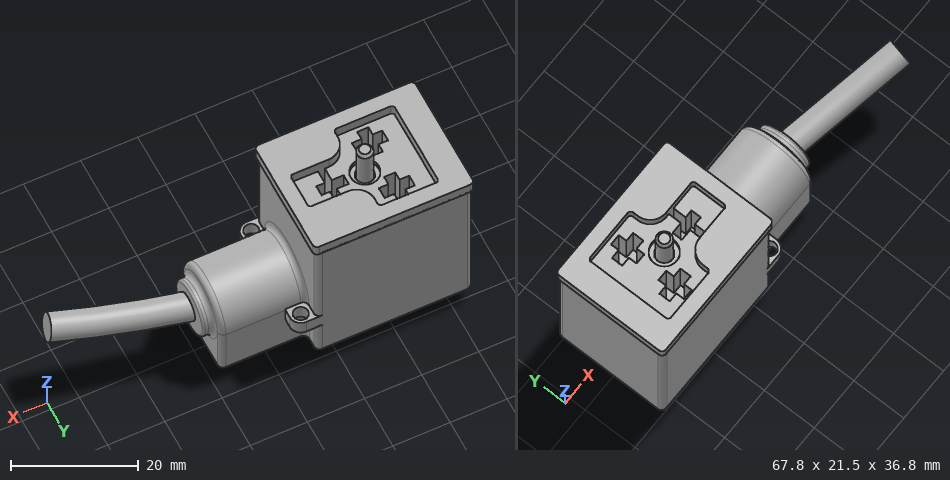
import cadquery as cq


block_left = -13.7
block_right = 13.7
block_length = block_right - block_left
block_mid_x = (block_left + block_right) / 2
block_width = 21.1
block_bottom = -30.0
block_corner_radius = 1.0
bottom_edge_radius = 0.8

flange_left = -13.9
flange_right = 14.1
flange_length = flange_right - flange_left
flange_mid_x = (flange_left + flange_right) / 2
flange_width = 21.5
flange_thickness = 2.1
flange_corner_radius = 0.8

outlet_radius = 6.95
outlet_axis_z = -20.2
outlet_end = 28.8
outlet_edge_radius = 1.0
outlet_root_radius = 1.0

collar_diameter = 9.75
collar_end = 30.75
collar_root_radius = 1.0
collar_rim_radius = 0.4

cable_diameter = 4.9
cable_start = (outlet_end, 0, outlet_axis_z)
cable_start_direction = (1, -0.19, 0.03)
cable_end = (53.16, -5.05, -17.4)

ear_top = -20.0
ear_thickness = 2.7
ear_end = 17.4
ear_corner_radius = 1.9
ear_hole_diameter = 2.5
ear_hole_x = 15.55
ear_hole_y = 8.75

recess_depth = 2.1
recess_left = -9.0
recess_step = 1.5
recess_right = 11.45
recess_half_width = 8.05
recess_stem_half_width = 3.35
recess_corner_radius = 0.6
recess_stem_corner_radius = 0.5
recess_blend_radius = 3.2

contact_depth = 8.0
line_contact_x = -3.25
line_contact_y = 4.75
line_contact_length = 5.3
line_contact_width = 2.05
line_contact_cross_length = 5.1
line_contact_cross_width = 1.95
earth_contact_x = 5.65
earth_contact_length = 4.75
earth_contact_width = 1.85
earth_slot_x = 5.95
earth_slot_width = 1.2

screw_diameter = 2.78
screw_top = 4.29
screw_tip_diameter = 1.9
screw_tip_height = 0.6
screw_hole_diameter = 3.2
screw_recess_diameter = 4.9
screw_recess_depth = 0.8

button_x = -8.8
button_diameter = 3.0
button_neck_height = 1.0


def box_between(x_range, y_range, z_range):
    """Return a box spanning the given (low, high) ranges."""
    size = [high - low for low, high in (x_range, y_range, z_range)]
    corner = (x_range[0], y_range[0], z_range[0])
    return cq.Workplane("XY").box(*size, centered=False).translate(corner)


def make_block_with_outlet():
    """Return the housing block blended into the cable outlet."""
    block = (
        cq.Workplane("XY", origin=(block_mid_x, 0, block_bottom))
        .rect(block_length, block_width)
        .extrude(-block_bottom)
        .edges("|Z")
        .fillet(block_corner_radius)
    )
    outlet = (
        cq.Workplane("YZ", origin=(block_mid_x, 0, 0))
        .moveTo(-outlet_radius, block_bottom)
        .lineTo(-outlet_radius, outlet_axis_z)
        .threePointArc((0, outlet_axis_z + outlet_radius), (outlet_radius, outlet_axis_z))
        .lineTo(outlet_radius, block_bottom)
        .close()
        .extrude(outlet_end - block_mid_x)
        .faces(">X")
        .edges("not <Z")
        .fillet(outlet_edge_radius)
    )
    joined = block.union(outlet)

    slack = 0.01
    root = cq.selectors.BoxSelector(
        (block_right - slack, -outlet_radius - slack, block_bottom + slack),
        (block_right + slack, outlet_radius + slack, 0),
    )
    joined = joined.edges(root).fillet(outlet_root_radius)
    return joined.faces("<Z").edges().fillet(bottom_edge_radius)


def make_flange():
    """Return the flange plate, flush with the mating face."""
    return (
        cq.Workplane("XY", origin=(flange_mid_x, 0, -flange_thickness))
        .rect(flange_length, flange_width)
        .extrude(flange_thickness)
        .edges("|Z")
        .fillet(flange_corner_radius)
    )


def make_collar():
    """Return the collar with a concave root and a rounded rim, revolved about the outlet axis."""
    radius = collar_diameter / 2
    root_outer_radius = radius + collar_root_radius
    return (
        cq.Workplane("XY")
        .moveTo(block_right, 0)
        .lineTo(block_right, root_outer_radius)
        .lineTo(outlet_end, root_outer_radius)
        .radiusArc((outlet_end + collar_root_radius, radius), -collar_root_radius)
        .lineTo(collar_end - collar_rim_radius, radius)
        .radiusArc((collar_end, radius - collar_rim_radius), collar_rim_radius)
        .lineTo(collar_end, 0)
        .close()
        .revolve(360, (0, 0), (1, 0))
        .translate((0, 0, outlet_axis_z))
    )


def make_cable():
    """Return the cable, swept along its arc from the outlet end."""
    path = cq.Edge.makeTangentArc(
        cq.Vector(*cable_start), cq.Vector(*cable_start_direction), cq.Vector(*cable_end)
    )
    start_plane = cq.Plane(origin=cable_start, normal=cable_start_direction)
    return cq.Workplane(start_plane).circle(cable_diameter / 2).sweep(cq.Workplane(obj=path))


def make_ears():
    """Return a bar behind the outlet whose two outer ends form the fixing ears."""
    ear_bottom = ear_top - ear_thickness
    half_width = block_width / 2
    bar = box_between((block_mid_x, ear_end), (-half_width, half_width), (ear_bottom, ear_top))
    return bar.edges("|Z and >X").fillet(ear_corner_radius)


def make_ear_holes():
    """Return the two vertical holes through the ears."""
    return (
        cq.Workplane("XY", origin=(0, 0, ear_top - ear_thickness))
        .pushPoints([(ear_hole_x, -ear_hole_y), (ear_hole_x, ear_hole_y)])
        .circle(ear_hole_diameter / 2)
        .extrude(ear_thickness)
    )


def make_mating_recess():
    """Return the T-shaped recess, its stem blended into its head by quarter arcs."""
    blend_x = recess_step + recess_blend_radius
    blend_y = recess_stem_half_width + recess_blend_radius
    outline = (
        cq.Workplane("XY", origin=(0, 0, -recess_depth))
        .moveTo(recess_left, -recess_half_width)
        .lineTo(recess_step, -recess_half_width)
        .lineTo(recess_step, -blend_y)
        .radiusArc((blend_x, -recess_stem_half_width), recess_blend_radius)
        .lineTo(recess_right, -recess_stem_half_width)
        .lineTo(recess_right, recess_stem_half_width)
        .lineTo(blend_x, recess_stem_half_width)
        .radiusArc((recess_step, blend_y), recess_blend_radius)
        .lineTo(recess_step, recess_half_width)
        .lineTo(recess_left, recess_half_width)
        .close()
        .extrude(recess_depth)
    )
    outline = outline.edges("|Z and (<Y or >Y)").fillet(recess_corner_radius)
    return outline.edges("|Z and >X").fillet(recess_stem_corner_radius)


def contact_slot(x, y, length, width):
    """Return a rectangular opening sunk from the recess floor."""
    return (
        cq.Workplane("XY", origin=(x, y, -recess_depth))
        .rect(length, width)
        .extrude(-contact_depth)
    )


def make_contact_openings():
    """Return two cross-shaped line contacts and the earth contact with its full-width slot."""
    openings = contact_slot(earth_contact_x, 0, earth_contact_length, earth_contact_width)
    openings = openings.union(
        contact_slot(earth_slot_x, 0, earth_slot_width, 2 * recess_stem_half_width)
    )
    for y in (-line_contact_y, line_contact_y):
        along_x = contact_slot(line_contact_x, y, line_contact_length, line_contact_width)
        along_y = contact_slot(line_contact_x, y, line_contact_cross_width, line_contact_cross_length)
        openings = openings.union(along_x).union(along_y)
    return openings


def make_screw_hole():
    """Return the through hole and the shallow round recess at its upper end."""
    hole = cq.Workplane("XY").circle(screw_hole_diameter / 2).extrude(block_bottom)
    recess = (
        cq.Workplane("XY")
        .circle(screw_recess_diameter / 2)
        .extrude(-recess_depth - screw_recess_depth)
    )
    return hole.union(recess)


def make_button():
    """Return the button: a short neck, rooted in the housing, ending in a hemisphere."""
    dome_center_z = block_bottom - button_neck_height
    neck = (
        cq.Workplane("XY", origin=(button_x, 0, dome_center_z))
        .circle(button_diameter / 2)
        .extrude(2 * button_neck_height)
    )
    dome = cq.Workplane("XY", origin=(button_x, 0, dome_center_z)).sphere(button_diameter / 2)
    return neck.union(dome)


def make_housing():
    """Return the moulded housing with its cable, ears and openings as one body."""
    housing = make_block_with_outlet()
    for addition in (make_flange(), make_collar(), make_cable(), make_ears(), make_button()):
        housing = housing.union(addition)
    for opening in (make_mating_recess(), make_contact_openings(), make_screw_hole(), make_ear_holes()):
        housing = housing.cut(opening)
    return housing


def make_screw():
    """Return the screw shaft, ending flush with the housing bottom and tapered at its tip."""
    radius = screw_diameter / 2
    tip_radius = screw_tip_diameter / 2
    return (
        cq.Workplane("XZ")
        .moveTo(0, block_bottom)
        .lineTo(radius, block_bottom)
        .lineTo(radius, screw_top - screw_tip_height)
        .lineTo(tip_radius, screw_top)
        .lineTo(0, screw_top)
        .close()
        .revolve(360, (0, 0), (0, 1))
    )


housing = make_housing()
screw = make_screw()

result = cq.Compound.makeCompound([housing.solids().val(), screw.val()])